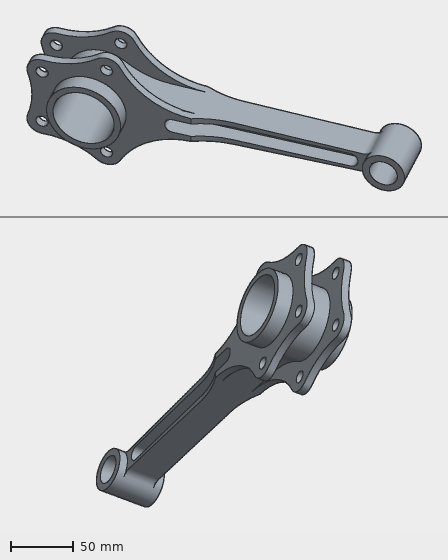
import cadquery as cq
import math

hub_radius = 31.5
hub_bore_radius = 26.0
hub_length = 70.0

eye_x = 250.0
eye_radius = 18.0
eye_bore_radius = 12.0

flange_height = 112.0
flange_span = 42.0
flange_thickness = 7.0
lug_radius = 13.0
lug_hole_radius = 5.0
rear_lug = (-40.0, 26.0)
front_lug = (14.8, flange_height / 2 - lug_radius)
scallop_radius = 70.0

arm_width = flange_span - 2 * flange_thickness
arm_root_x = 87.0
arm_root_height = 24.0
arm_tip_x = 228.2
arm_tip_height = 18.5
hub_blend_radius = scallop_radius
eye_blend_radius = 10.0
flare_end_x = 119.5

pocket_start_x = 64.2
pocket_end_x = 226.0
pocket_height = 13.2
pocket_web = 2.0

taper_angle = math.atan2((arm_tip_height - arm_root_height) / 2, arm_tip_x - arm_root_x)


def point_toward(start, end, distance):
    """Point at the given distance from start on the way to end."""
    ratio = distance / math.dist(start, end)
    return (start[0] + ratio * (end[0] - start[0]), start[1] + ratio * (end[1] - start[1]))


def arc_middle(center, start, end):
    """Middle of the shorter arc from start to end."""
    chord_middle = ((start[0] + end[0]) / 2, (start[1] + end[1]) / 2)
    return point_toward(center, chord_middle, math.dist(center, start))


def scallop_center(first, second):
    """Centre of the scallop touching two lugs, on the left of first to second."""
    half = math.dist(first, second) / 2
    rise = math.sqrt((scallop_radius + lug_radius) ** 2 - half**2)
    along = ((second[0] - first[0]) / (2 * half), (second[1] - first[1]) / (2 * half))
    return (
        first[0] + along[0] * half - along[1] * rise,
        first[1] + along[1] * half + along[0] * rise,
    )


def arm_blend(round_center, round_radius, blend_radius, side):
    """Blend from a round to the upper arm edge: touch on round, middle, touch on arm.

    side is +1 when the blend lies on the +X side of the round and -1 on the -X side.
    """
    along = (math.cos(taper_angle), math.sin(taper_angle))
    normal = (-along[1], along[0])
    offset = (arm_root_x - round_center[0], arm_root_height / 2 - round_center[1])
    height = offset[0] * normal[0] + offset[1] * normal[1] + blend_radius
    reach = side * math.sqrt((round_radius + blend_radius) ** 2 - height**2)
    center = (
        round_center[0] + reach * along[0] + height * normal[0],
        round_center[1] + reach * along[1] + height * normal[1],
    )
    on_round = point_toward(round_center, center, round_radius)
    on_arm = (center[0] - blend_radius * normal[0], center[1] - blend_radius * normal[1])
    return on_round, arc_middle(center, on_round, on_arm), on_arm


def lower(point):
    """Mirror image of a profile point below the arm axis."""
    return (point[0], -point[1])


def cylinder(center, radius, length):
    """Cylinder along Y, centred on Y = 0."""
    return cq.Workplane("XZ").center(*center).circle(radius).extrude(length / 2, both=True)


def flange_block():
    """Star-shaped flange outline, extruded across the full flange span."""
    rear_center = scallop_center(lower(rear_lug), rear_lug)
    top_center = scallop_center(rear_lug, front_lug)
    rear_touch = point_toward(rear_lug, rear_center, lug_radius)
    rear_middle = (rear_center[0] + scallop_radius, 0)
    top_start = point_toward(rear_lug, top_center, lug_radius)
    top_end = point_toward(front_lug, top_center, lug_radius)
    neck_start, neck_middle, neck_end = arm_blend(front_lug, lug_radius, scallop_radius, 1)
    rear_lug_middle = arc_middle(rear_lug, rear_touch, top_start)
    front_lug_middle = arc_middle(front_lug, top_end, neck_start)
    top_middle = arc_middle(top_center, top_start, top_end)
    return (
        cq.Workplane("XZ")
        .moveTo(*lower(rear_touch))
        .threePointArc(rear_middle, rear_touch)
        .threePointArc(rear_lug_middle, top_start)
        .threePointArc(top_middle, top_end)
        .threePointArc(front_lug_middle, neck_start)
        .threePointArc(neck_middle, neck_end)
        .lineTo(*lower(neck_end))
        .threePointArc(lower(neck_middle), lower(neck_start))
        .threePointArc(lower(front_lug_middle), lower(top_end))
        .threePointArc(lower(top_middle), lower(top_start))
        .threePointArc(lower(rear_lug_middle), lower(rear_touch))
        .close()
        .extrude(flange_span / 2, both=True)
    )


def flanges():
    """Two flange plates with the space between them open."""
    block = flange_block()
    gap = cq.Workplane("XY").box(4 * hub_length, arm_width, 4 * hub_length)
    holes = [point for lug in (rear_lug, front_lug) for point in (lug, lower(lug))]
    drills = cq.Workplane("XZ").pushPoints(holes).circle(lug_hole_radius).extrude(flange_span, both=True)
    return block.cut(gap).cut(drills)


def arm():
    """Tapered arm, blended into both rounds and flared out to the flanges."""
    hub_touch, hub_middle, hub_end = arm_blend((0, 0), hub_radius, hub_blend_radius, 1)
    eye_touch, eye_middle, eye_start = arm_blend((eye_x, 0), eye_radius, eye_blend_radius, -1)
    profile = (
        cq.Workplane("XZ")
        .lineTo(*hub_touch)
        .threePointArc(hub_middle, hub_end)
        .lineTo(*eye_start)
        .threePointArc(eye_middle, eye_touch)
        .lineTo(eye_x, 0)
        .lineTo(*lower(eye_touch))
        .threePointArc(lower(eye_middle), lower(eye_start))
        .lineTo(*lower(hub_end))
        .threePointArc(lower(hub_middle), lower(hub_touch))
        .close()
        .extrude(flange_span / 2, both=True)
    )

    flange_end_x = arm_blend(front_lug, lug_radius, scallop_radius, 1)[2][0]

    flare_length = flare_end_x - flange_end_x
    flare_radius = (flare_length**2 + flange_thickness**2) / (2 * flange_thickness)
    root = (flange_end_x, flange_span / 2)
    flare_end = (flare_end_x, arm_width / 2)
    flare_center = (flare_end_x, arm_width / 2 + flare_radius)
    flare_middle = arc_middle(flare_center, root, flare_end)
    plan = (
        cq.Workplane("XY")
        .workplane(offset=-hub_length)
        .moveTo(0, -arm_width / 2)
        .lineTo(0, arm_width / 2)
        .lineTo(flange_end_x, arm_width / 2)
        .lineTo(*root)
        .threePointArc(flare_middle, flare_end)
        .lineTo(eye_x, arm_width / 2)
        .lineTo(eye_x, -arm_width / 2)
        .lineTo(*lower(flare_end))
        .threePointArc(lower(flare_middle), lower(root))
        .lineTo(flange_end_x, -arm_width / 2)
        .close()
        .extrude(2 * hub_length)
    )
    return profile.intersect(plan)


def side_pockets():
    """Round-ended pockets leaving a flat web in the middle of the arm."""
    depth = (flange_span - pocket_web) / 2
    slot = (
        cq.Workplane("XZ", origin=(0, -pocket_web / 2, 0))
        .center((pocket_start_x + pocket_end_x) / 2, 0)
        .slot2D(pocket_end_x - pocket_start_x, pocket_height)
        .extrude(depth)
    )
    return slot.union(slot.mirror("XZ"))


body = flanges().union(arm()).union(cylinder((0, 0), hub_radius, hub_length))
body = body.union(cylinder((eye_x, 0), eye_radius, flange_span))
body = body.cut(side_pockets())
body = body.cut(cylinder((0, 0), hub_bore_radius, hub_length))
result = body.cut(cylinder((eye_x, 0), eye_bore_radius, flange_span))